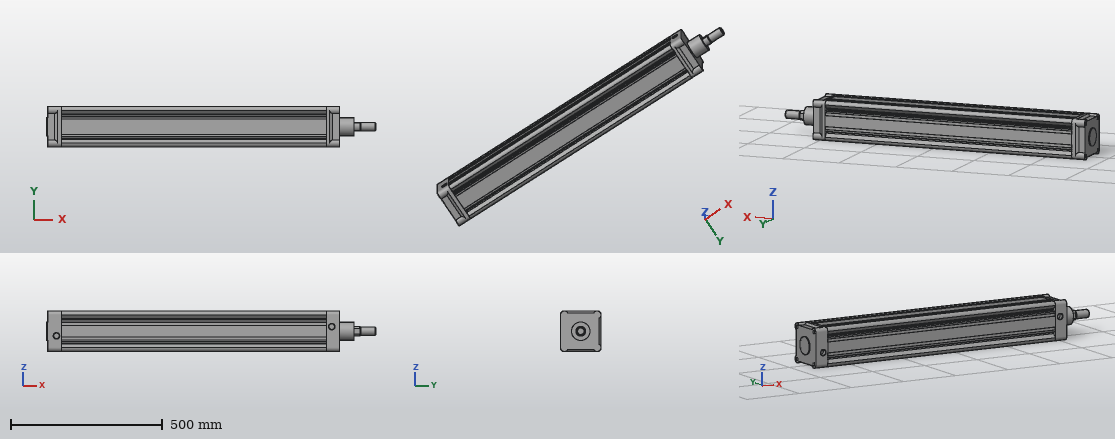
import cadquery as cq
import math

TOTAL_LENGTH = 1085.0
SPIGOT_LENGTH = 3.8
REAR_CAP_LENGTH = 46.0
TUBE_LENGTH = 872.0
FRONT_CAP_LENGTH = 43.0
COLLAR_LENGTH = 48.0
THREAD_LENGTH = 53.0
rear_cap_x = SPIGOT_LENGTH
tube_x = rear_cap_x + REAR_CAP_LENGTH
front_cap_x = tube_x + TUBE_LENGTH
front_cap_end_x = front_cap_x + FRONT_CAP_LENGTH
collar_end_x = front_cap_end_x + COLLAR_LENGTH
thread_x = TOTAL_LENGTH - THREAD_LENGTH

WIDTH = 135.0
CORNER_RADIUS = 13.0
half_width = WIDTH / 2
corner_center = half_width - CORNER_RADIUS

SLOT_INNER = 34.0
SLOT_OUTER = 38.0
FLANK_FOOT = 42.0
SLOT_DEPTH = 17.0
STEP_DEPTH = 2.0
SIDE_STEP_INNER = 18.0
SIDE_STEP_OUTER = 28.0
TOP_STEP_INNER = 25.0
TOP_STEP_OUTER = 31.0
ledge_height = half_width - (corner_center - FLANK_FOOT)

COLLAR_RADIUS = 30.0
RECESS_DEPTH = 7.0
RECESS_LENGTH = 33.0
RECESS_SLOPE_LENGTH = 10.0
SCREW_HOLE_DIAMETER = 11.0
SCREW_HOLE_DEPTH = 16.0
PORT_MOUTH_DIAMETER = 22.0
PORT_DEPTH = 16.0
PORT_CHAMFER = 1.6
PORT_OFFSET = 15.0
REAR_PORT_X = 33.0
FRONT_PORT_X = 940.0
RECESSED_SIDES = (0, -90, 180)

ROD_RADIUS = 16.0
THREAD_RADIUS = 14.0
THREAD_CHAMFER = 3.0
FLAT_WIDTH = 27.0


def bar(x, length):
    """Square bar along X with rounded edges."""
    box = cq.Workplane("YZ", origin=(x, 0, 0)).rect(WIDTH, WIDTH).extrude(length)
    return box.edges("|X").fillet(CORNER_RADIUS)


def rod_along_x(x, length, radius):
    return cq.Workplane("YZ", origin=(x, 0, 0)).circle(radius).extrude(length)


def corner_points():
    return [(y, z) for y in (-corner_center, corner_center) for z in (-corner_center, corner_center)]


def side_recesses(open_x, direction):
    """Recesses in three sides, open at open_x, sloping out at the end towards direction."""
    floor_end = open_x + direction * (RECESS_LENGTH - RECESS_SLOPE_LENGTH)
    surface_end = open_x + direction * RECESS_LENGTH
    floor = half_width - RECESS_DEPTH
    outline = [(open_x, floor), (floor_end, floor), (surface_end, half_width), (open_x, half_width)]
    wedge = cq.Workplane("XZ").polyline(outline).close().extrude(half_width, both=True)
    floor_edge = corner_center - math.sqrt(CORNER_RADIUS**2 - (floor - corner_center) ** 2)
    arc_angle = (math.pi / 2 + math.acos((floor_edge - corner_center) / CORNER_RADIUS)) / 2
    arc_y = corner_center + CORNER_RADIUS * math.cos(arc_angle)
    arc_z = corner_center + CORNER_RADIUS * math.sin(arc_angle)
    channel = (
        cq.Workplane("YZ", origin=(min(open_x, surface_end), 0, 0))
        .moveTo(-corner_center, half_width)
        .threePointArc((-arc_y, arc_z), (-floor_edge, floor))
        .lineTo(floor_edge, floor)
        .threePointArc((arc_y, arc_z), (corner_center, half_width))
        .close()
        .extrude(RECESS_LENGTH)
    )
    recess = channel.intersect(wedge)
    return [recess.rotate((0, 0, 0), (1, 0, 0), angle) for angle in RECESSED_SIDES]


def port(x, z):
    """Blind port in the -Y side, chamfered at its mouth."""
    face = cq.Workplane("XZ", origin=(x, -half_width, z))
    hole = face.circle(PORT_MOUTH_DIAMETER / 2 - PORT_CHAMFER).extrude(-PORT_DEPTH)
    mouth = face.circle(PORT_MOUTH_DIAMETER / 2).extrude(-PORT_CHAMFER, taper=45)
    return hole.union(mouth)


def make_rear_cap():
    cap = bar(rear_cap_x, REAR_CAP_LENGTH)
    for recess in side_recesses(rear_cap_x, 1):
        cap = cap.cut(recess)
    screw_holes = (
        cq.Workplane("YZ", origin=(rear_cap_x, 0, 0))
        .pushPoints(corner_points()).circle(SCREW_HOLE_DIAMETER / 2).extrude(SCREW_HOLE_DEPTH)
    )
    cap = cap.cut(screw_holes).cut(port(REAR_PORT_X, -PORT_OFFSET))
    return cap.union(rod_along_x(0, SPIGOT_LENGTH, COLLAR_RADIUS))


def make_front_cap():
    cap = bar(front_cap_x, FRONT_CAP_LENGTH)
    for recess in side_recesses(front_cap_end_x, -1):
        cap = cap.cut(recess)
    cap = cap.cut(port(FRONT_PORT_X, PORT_OFFSET))
    cap = cap.union(rod_along_x(front_cap_end_x, COLLAR_LENGTH, COLLAR_RADIUS))
    return cap.cut(rod_along_x(front_cap_x, collar_end_x - front_cap_x, ROD_RADIUS))


def tube_groove(step_inner, step_outer):
    """Cutter for a deep flanked groove and a shallow groove beside it, on the +Z side at +Y."""
    deep = [
        (SLOT_INNER, half_width),
        (SLOT_INNER, half_width - SLOT_DEPTH),
        (SLOT_OUTER, half_width - SLOT_DEPTH),
        (SLOT_OUTER, ledge_height),
        (FLANK_FOOT, ledge_height),
        (corner_center, half_width),
    ]
    step = (
        cq.Workplane("YZ", origin=(tube_x, 0, 0))
        .center((step_inner + step_outer) / 2, half_width - STEP_DEPTH / 2)
        .rect(step_outer - step_inner, STEP_DEPTH).extrude(TUBE_LENGTH)
    )
    groove = cq.Workplane("YZ", origin=(tube_x, 0, 0)).polyline(deep).close().extrude(TUBE_LENGTH)
    return groove.union(step)


def make_tube():
    tube = bar(tube_x, TUBE_LENGTH)
    top_groove = tube_groove(TOP_STEP_INNER, TOP_STEP_OUTER)
    side_groove = tube_groove(SIDE_STEP_INNER, SIDE_STEP_OUTER)
    for angle, groove in ((0, top_groove), (90, side_groove), (180, top_groove), (270, side_groove)):
        for cutter in (groove, groove.mirror("XZ")):
            tube = tube.cut(cutter.rotate((0, 0, 0), (1, 0, 0), angle))
    return tube


def make_piston_rod():
    """Rod through the front cap, with two wrench flats and a threaded end."""
    shank = rod_along_x(front_cap_x, thread_x - front_cap_x, ROD_RADIUS)
    flat_length = thread_x - collar_end_x
    flat_middle_x = collar_end_x + flat_length / 2
    waste_offset = (FLAT_WIDTH + ROD_RADIUS) / 2
    for side in (-1, 1):
        waste = (
            cq.Workplane("XY", origin=(flat_middle_x, side * waste_offset, 0))
            .box(flat_length, ROD_RADIUS, 2 * ROD_RADIUS)
        )
        shank = shank.cut(waste)
    thread = rod_along_x(thread_x, THREAD_LENGTH, THREAD_RADIUS).faces("<X or >X").chamfer(THREAD_CHAMFER)
    return shank.union(thread)


rear_cap = make_rear_cap()
tube = make_tube()
front_cap = make_front_cap()
piston_rod = make_piston_rod()

result = cq.Compound.makeCompound([rear_cap.val(), tube.val(), front_cap.val(), piston_rod.val()])